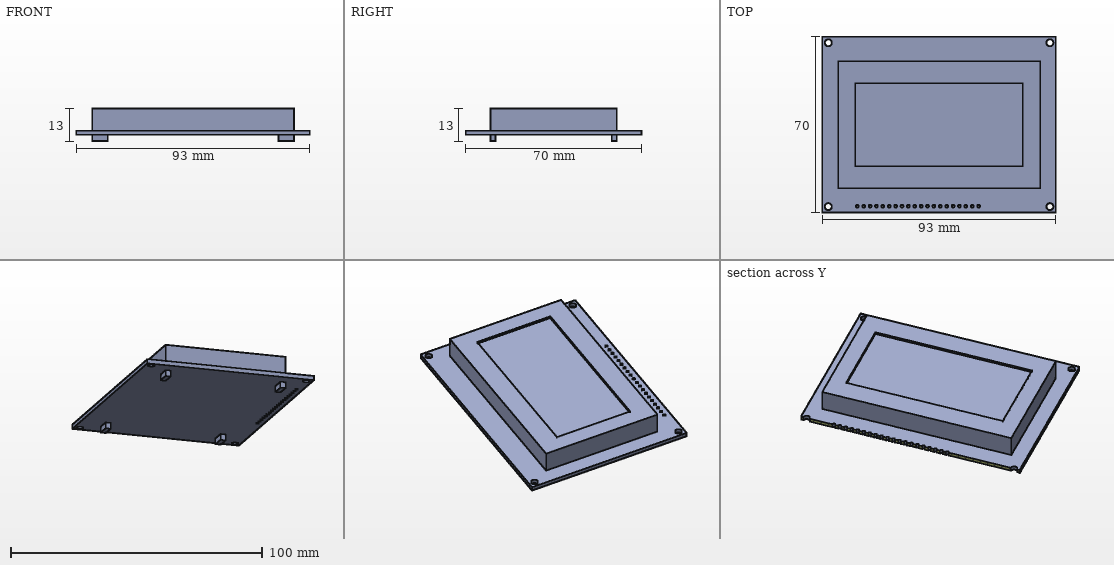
import cadquery as cq

board_length = 93.0
board_width = 70.0
board_thickness = 1.8

housing_length = 80.35
housing_width = 50.4
housing_height = 8.8

window_length = 66.6
window_width = 33.1
window_depth = 0.9

foot_length = 6.2
foot_width = 2.1
foot_height = 2.4

mount_diameter = 2.7
mount_inset = 2.4

pin_diameter = 1.0
pin_count = 20
pin_row_length = 48.3
pin_pitch = pin_row_length / (pin_count - 1)
first_pin_inset = 13.95
pin_edge_distance = 2.6


def make_board():
    """Board resting on Z = 0, with all its through holes."""
    board = cq.Workplane("XY").box(
        board_length, board_width, board_thickness, centered=(True, True, False)
    )
    mount_holes = (
        cq.Workplane("XY")
        .rect(board_length - 2 * mount_inset, board_width - 2 * mount_inset, forConstruction=True)
        .vertices()
        .circle(mount_diameter / 2)
        .extrude(board_thickness)
    )
    first_pin_x = first_pin_inset - board_length / 2
    pin_y = pin_edge_distance - board_width / 2
    pin_points = [(first_pin_x + i * pin_pitch, pin_y) for i in range(pin_count)]
    pin_holes = (
        cq.Workplane("XY")
        .pushPoints(pin_points)
        .circle(pin_diameter / 2)
        .extrude(board_thickness)
    )
    return board.cut(mount_holes).cut(pin_holes)


def make_housing():
    """Display housing on the board, with its shallow window recess."""
    return (
        cq.Workplane("XY", origin=(0, 0, board_thickness))
        .rect(housing_length, housing_width)
        .extrude(housing_height)
        .faces(">Z")
        .workplane()
        .rect(window_length, window_width)
        .cutBlind(-window_depth)
    )


def make_feet():
    """Four blocks below the board, flush with the housing sides."""
    return (
        cq.Workplane("XY")
        .rect(housing_length - foot_length, housing_width - foot_width, forConstruction=True)
        .vertices()
        .rect(foot_length, foot_width)
        .extrude(-foot_height)
    )


result = make_board().union(make_housing()).union(make_feet())